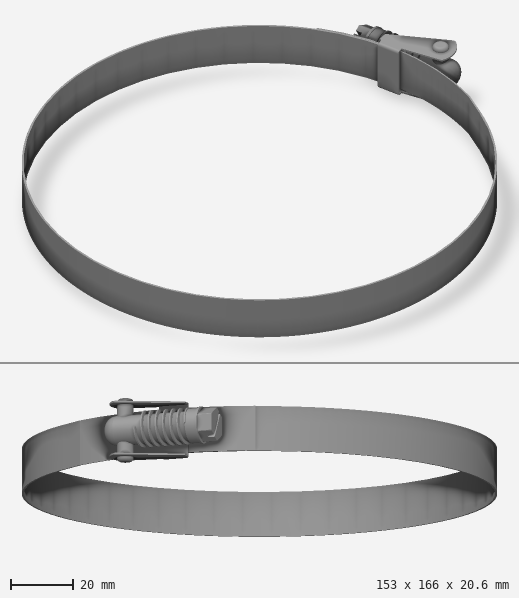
import cadquery as cq
import math

SHEET = 0.56

BAND_RADIUS = 76.5
BAND_WIDTH = 14.6
BRACKET_ANGLE = 90
INNER_END_ANGLE = BRACKET_ANGLE
STEP_START_ANGLE = 55.2
STEP_END_ANGLE = 62.4
OUTER_END_ANGLE = 110
LAP_GAP = 0.03
LAP_RADIUS = BAND_RADIUS + LAP_GAP + SHEET

BRACKET_WIDTH = 17.6
BASE_LENGTH = 8.0
BASE_UNDERSIDE_Y = 74.4
BEND_RADIUS = 1.0
SADDLE_LENGTH = 10.0
SHOULDER_Y = 76.4
PLATE_BACK_TOP_Y = 80.2
PLATE_TOP = (15.8, 89.6)
PLATE_END_MID = (19.5, 83.7)
PLATE_BOTTOM = (18.3, 78.2)
PLATE_CORNER_RADIUS = 1.3

SCREW_AXIS_Y = 83.5
HEAD_X = -17.3
FLANGE_X = -12.5
COLLAR_X = -11.6
CORE_X = -8.3
SCREW_END_X = 21.0
HEAD_ACROSS_FLATS = 9.6
HEAD_CORNER_RADIUS = 5.5
FLANGE_RADIUS = 6.0
COLLAR_RADIUS = 5.6
CORE_RADIUS = 4.8
END_ROUNDING = 4.0
SLOT_WIDTH = 1.2
SLOT_DEPTH = 2.3
SLOT_ANGLE = 120

THREAD_RADIUS = 6.0
THREAD_PITCH = 2.5
THREAD_TURNS = 7
THREAD_ROOT_WIDTH = 0.8
THREAD_TIP_WIDTH = 0.5
WORM_CLEARANCE = 0.08
THREAD_SINK = 0.3

PIN_X = 14.3
PIN_RADIUS = 2.7
PIN_TIP_Z = 10.3
PIN_ROUNDING = 1.2
PIN_INNER_Z = 3.2


def polar(radius, angle):
    """Point at a radius and an angle in degrees around the Z axis."""
    return radius * math.cos(math.radians(angle)), radius * math.sin(math.radians(angle))


def make_band():
    """Strip wound counterclockwise from its inner end, stepping out one layer for the lap."""
    outer = BAND_RADIUS
    inner = BAND_RADIUS - SHEET
    lap_inner = LAP_RADIUS - SHEET
    step_start = STEP_START_ANGLE + 360
    wrap_middle = (INNER_END_ANGLE + step_start) / 2
    lap_middle = (STEP_END_ANGLE + OUTER_END_ANGLE) / 2
    return (
        cq.Workplane("XY")
        .workplane(offset=-BAND_WIDTH / 2)
        .moveTo(*polar(outer, INNER_END_ANGLE))
        .threePointArc(polar(outer, wrap_middle), polar(outer, step_start))
        .lineTo(*polar(LAP_RADIUS, STEP_END_ANGLE))
        .threePointArc(polar(LAP_RADIUS, lap_middle), polar(LAP_RADIUS, OUTER_END_ANGLE))
        .lineTo(*polar(lap_inner, OUTER_END_ANGLE))
        .threePointArc(polar(lap_inner, lap_middle), polar(lap_inner, STEP_END_ANGLE))
        .lineTo(*polar(inner, step_start))
        .threePointArc(polar(inner, wrap_middle), polar(inner, INNER_END_ANGLE))
        .close()
        .extrude(BAND_WIDTH)
    )


def make_side_plate():
    """Tapered plate standing on z = 0, without its base tab."""
    half_base = BASE_LENGTH / 2
    half_saddle = SADDLE_LENGTH / 2
    plate = (
        cq.Workplane("XY")
        .moveTo(-half_base, SHOULDER_Y)
        .lineTo(half_base, SHOULDER_Y)
        .lineTo(*PLATE_BOTTOM)
        .threePointArc(PLATE_END_MID, PLATE_TOP)
        .lineTo(-half_saddle, PLATE_BACK_TOP_Y)
        .lineTo(-half_saddle, SHOULDER_Y + half_saddle - half_base)
        .close()
        .extrude(SHEET)
    )
    return plate.edges("|Z and (>X or >Y)").fillet(PLATE_CORNER_RADIUS)


def make_base():
    """U-shaped strap that carries the two side plates."""
    strap_height = SHOULDER_Y - BASE_UNDERSIDE_Y
    outside = (
        cq.Workplane("XY")
        .box(BASE_LENGTH, strap_height, BRACKET_WIDTH, centered=(True, False, True))
        .edges("|X and <Y")
        .fillet(BEND_RADIUS)
    )
    inside = (
        cq.Workplane("XY")
        .box(BASE_LENGTH, strap_height, BRACKET_WIDTH - 2 * SHEET, centered=(True, False, True))
        .edges("|X and <Y")
        .fillet(BEND_RADIUS - SHEET)
        .translate((0, SHEET, 0))
    )
    return outside.cut(inside).translate((0, BASE_UNDERSIDE_Y, 0))


def make_saddle():
    """Curved strip lying on the lapped band, reaching across both side plates."""
    inside = LAP_RADIUS
    outside = LAP_RADIUS + SHEET
    half_angle = math.degrees(math.asin(SADDLE_LENGTH / 2 / outside))
    start = BRACKET_ANGLE + half_angle
    end = BRACKET_ANGLE - half_angle
    return (
        cq.Workplane("XY")
        .workplane(offset=-BRACKET_WIDTH / 2)
        .moveTo(*polar(inside, start))
        .threePointArc((0, inside), polar(inside, end))
        .lineTo(*polar(outside, end))
        .threePointArc((0, outside), polar(outside, start))
        .close()
        .extrude(BRACKET_WIDTH)
    )


def make_bracket():
    bracket = make_base().union(make_saddle())
    for plate_z in (-BRACKET_WIDTH / 2, BRACKET_WIDTH / 2 - SHEET):
        bracket = bracket.union(make_side_plate().translate((0, 0, plate_z)))
    pin_holes = (
        cq.Workplane("XY")
        .center(PIN_X, SCREW_AXIS_Y)
        .circle(PIN_RADIUS)
        .extrude(BRACKET_WIDTH / 2, both=True)
    )
    worm_relief = (
        cq.Workplane("YZ")
        .workplane(offset=-SADDLE_LENGTH / 2)
        .center(SCREW_AXIS_Y, 0)
        .circle(THREAD_RADIUS + WORM_CLEARANCE)
        .extrude(SADDLE_LENGTH)
    )
    return bracket.cut(pin_holes).cut(worm_relief)


def make_head():
    """Slotted hexagon head, built along +Z from the end face."""
    length = FLANGE_X - HEAD_X
    half_sector = 30
    across_corners = HEAD_ACROSS_FLATS / math.cos(math.radians(half_sector))
    hexagon = cq.Workplane("XY").polygon(6, across_corners).extrude(length)
    turned = cq.Workplane("XY").circle(HEAD_CORNER_RADIUS).extrude(length)
    slot = cq.Workplane("XY").box(
        2 * HEAD_CORNER_RADIUS, SLOT_WIDTH, SLOT_DEPTH, centered=(True, True, False)
    )
    return (
        hexagon.rotate((0, 0, 0), (0, 0, 1), half_sector)
        .intersect(turned)
        .cut(slot.rotate((0, 0, 0), (0, 0, 1), SLOT_ANGLE))
        .translate((0, 0, HEAD_X))
    )


def make_turned_section(start, end, radius):
    """Round section of the screw, built along +Z."""
    return cq.Workplane("XY").workplane(offset=start).circle(radius).extrude(end - start)


def make_thread():
    """Helical ridge around the core, starting on the +X side and built along +Z."""
    root = CORE_RADIUS - THREAD_SINK
    helix = cq.Wire.makeHelix(THREAD_PITCH, THREAD_TURNS * THREAD_PITCH, root)
    section = [
        (root, -THREAD_ROOT_WIDTH / 2),
        (THREAD_RADIUS, -THREAD_TIP_WIDTH / 2),
        (THREAD_RADIUS, THREAD_TIP_WIDTH / 2),
        (root, THREAD_ROOT_WIDTH / 2),
    ]
    ridge = cq.Workplane("XZ").polyline(section).close().sweep(cq.Workplane(helix), isFrenet=True)
    return ridge.translate((0, 0, CORE_X))


def make_screw():
    core = make_turned_section(CORE_X, SCREW_END_X, CORE_RADIUS).faces(">Z").edges().fillet(END_ROUNDING)
    screw = (
        core.union(make_thread())
        .union(make_turned_section(COLLAR_X, CORE_X, COLLAR_RADIUS))
        .union(make_turned_section(FLANGE_X, COLLAR_X, FLANGE_RADIUS))
        .union(make_head())
    )
    screw = screw.rotate((0, 0, 0), (1, 1, 1), 120).translate((0, SCREW_AXIS_Y, 0))
    for side in (-1, 1):
        screw = screw.cut(make_pin(side))
    return screw


def make_pin(side):
    """Round-ended pivot pin; side is +1 for the upper pin and -1 for the lower."""
    pin = (
        cq.Workplane("XY")
        .circle(PIN_RADIUS)
        .extrude(PIN_TIP_Z - PIN_INNER_Z)
        .faces(">Z")
        .edges()
        .fillet(PIN_ROUNDING)
        .translate((PIN_X, SCREW_AXIS_Y, PIN_INNER_Z))
    )
    return pin if side > 0 else pin.mirror("XY")


band = make_band()
bracket = make_bracket()
screw = make_screw()
pins = [make_pin(side) for side in (-1, 1)]

result = cq.Compound.makeCompound(
    [band.val(), bracket.solids().val(), screw.solids().val(), *[pin.val() for pin in pins]]
)